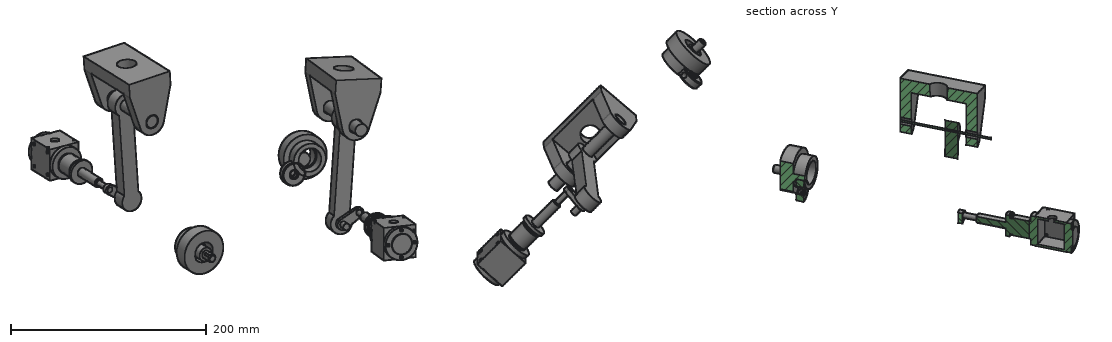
import cadquery as cq
import math


CUBE_SIZE = 35.0
CUBE_WALL = 3.0
DISC_DIAMETER = 35.0
DISC_THICKNESS = 5.0
BOSS_DIAMETER = 22.0
BOSS_HEIGHT = 1.7
FILL_HOLE_DIAMETER = 9.0
SCREW_MOUTH_DIAMETER = 3.27
SCREW_MOUTH_DEPTH = 1.0
SCREW_HOLE_DIAMETER = 2.45
COVER_SCREW_OFFSET = 12.5
DISC_SCREW_RADIUS = 14.5
SMALL_HOLE_DIAMETER = 2.5
SMALL_HOLE_EDGE_OFFSET = 16.0
SMALL_HOLE_SIDE_OFFSET = 11.0
CUBE_HALF = CUBE_SIZE / 2
DISC_FACE_OFFSET = CUBE_HALF + DISC_THICKNESS
BOSS_END_OFFSET = DISC_FACE_OFFSET + BOSS_HEIGHT
CUBE_CENTRE_X = BOSS_END_OFFSET

ARM_LEFT_X = 127.5
ARM_THICKNESS = 14.5
ARM_WIDTH = 17.2
ARM_LENGTH = 109.0
ARM_TILT = 4.0
UPPER_EYE_RADIUS = 12.8
LOWER_EYE_RADIUS = 11.8
PIVOT_Y = 9.8
PIVOT_Z = 97.8
MAIN_PIN_DIAMETER = 13.0
MAIN_PIN_LENGTH = 100.8

LINK_THICKNESS = 5.0
LINK_SPINDLE_END_RADIUS = 5.0
LINK_PIN_END_RADIUS = 6.0
CRANK_PIN_DIAMETER = 7.0
CRANK_PIN_LENGTH = 9.5

SHAFT_DIAMETER = 6.0
ROD_DIAMETER = 10.0
ROD_END_X = 107.2
ROD_CHAMFER = 1.0
NECK_DIAMETER = 20.0
NECK_START_X = 67.5
FLANGE_DIAMETER = 26.0
FLANGE_START_X = 69.5
FLANGE_END_X = 74.5
FLANGE_CHAMFER = 1.5
SPINDLE_START_X = CUBE_CENTRE_X + BOSS_END_OFFSET

BRACKET_LEFT_X = 106.0
BRACKET_LENGTH = 85.5
BRACKET_DEPTH = 50.0
BRACKET_HEIGHT = 50.0
BRACKET_PLATE = 15.0
BRACKET_LEG = 12.8
BRACKET_EYE_RADIUS = 15.0
BRACKET_TILT = 3.7
BRACKET_TOP_HOLE = 20.2
BRACKET_PIN_HOLE = 15.0

WHEEL_Y = -13.5
WHEEL_Z = 6.5
WHEEL_DIAMETER = 47.5
HUB_DIAMETER = 35.0
HUB_START_X = 296.7
HUB_LENGTH = 12.8
RIM_LENGTH = 15.0
BORE_DIAMETER = 25.0
BORE_DEPTH = HUB_LENGTH
INNER_BORE_DIAMETER = 22.0

COLLAR_Y = 3.5
COLLAR_Z = -7.5
COLLAR_START_X = 297.7
COLLAR_LENGTH = 9.0
COLLAR_DIAMETER = 25.0
COLLAR_HOLE = 8.0
COLLAR_CHAMFER = 1.0
SET_SCREWS = ((135, 3.5), (225, 6.0))

STUB_Y = -11.5
STUB_Z = 3.7
STUB_DIAMETER = 8.8
STUB_HEAD_DIAMETER = 15.0
STUB_START_X = HUB_START_X + BORE_DEPTH
STUB_HEAD_END_X = HUB_START_X + HUB_LENGTH + RIM_LENGTH
STUB_END_X = 337.0
STUB_CHAMFER = 1.0
KEYWAY_WIDTH = 2.5
KEYWAY_DEPTH = 1.5
KEYWAY_START_X = 327.7
KEYWAY_ANGLE = 45


def cylinder(diameter, start_x, end_x, y=0.0, z=0.0):
    """Cylinder along X between two X positions."""
    profile = cq.Workplane("YZ", origin=(start_x, y, z)).circle(diameter / 2)
    return profile.extrude(end_x - start_x)


def tangent_points(centre_a, radius_a, centre_b, radius_b):
    """Ends of the outer tangent that lies left of the direction from circle a to circle b."""
    dy = centre_b[0] - centre_a[0]
    dz = centre_b[1] - centre_a[1]
    normal = math.atan2(dz, dy) + math.acos((radius_a - radius_b) / math.hypot(dy, dz))
    return [
        (centre[0] + radius * math.cos(normal), centre[1] + radius * math.sin(normal))
        for centre, radius in ((centre_a, radius_a), (centre_b, radius_b))
    ]


def tilt_about_pivot(body, angle):
    """Turn a body about its pin axis and move that axis to the main pivot."""
    return body.rotate((0, 0, 0), (1, 0, 0), angle).translate((0, PIVOT_Y, PIVOT_Z))


def make_bracket():
    half_depth = BRACKET_DEPTH / 2
    plate_bottom = BRACKET_HEIGHT - BRACKET_PLATE
    corner = (half_depth, plate_bottom)
    eye_y, eye_z = tangent_points(corner, 0, (0, 0), BRACKET_EYE_RADIUS)[1]
    body = (
        cq.Workplane("YZ", origin=(BRACKET_LEFT_X, 0, 0))
        .moveTo(-half_depth, BRACKET_HEIGHT)
        .lineTo(half_depth, BRACKET_HEIGHT)
        .lineTo(*corner)
        .lineTo(eye_y, eye_z)
        .threePointArc((0, -BRACKET_EYE_RADIUS), (-eye_y, eye_z))
        .lineTo(-half_depth, plate_bottom)
        .close()
        .extrude(BRACKET_LENGTH)
    )
    gap = cq.Workplane("XY").box(
        BRACKET_LENGTH - 2 * BRACKET_LEG,
        BRACKET_DEPTH,
        plate_bottom + BRACKET_EYE_RADIUS,
        centered=(False, True, False),
    ).translate((BRACKET_LEFT_X + BRACKET_LEG, 0, -BRACKET_EYE_RADIUS))
    top_hole = (
        cq.Workplane("XY", origin=(BRACKET_LEFT_X + BRACKET_LENGTH / 2, 0, plate_bottom))
        .circle(BRACKET_TOP_HOLE / 2)
        .extrude(BRACKET_PLATE)
    )
    pin_hole = cylinder(BRACKET_PIN_HOLE, BRACKET_LEFT_X, BRACKET_LEFT_X + BRACKET_LENGTH)
    return tilt_about_pivot(body.cut(gap).cut(top_hole).cut(pin_hole), BRACKET_TILT)


def make_main_pin():
    end_x = BRACKET_LEFT_X + BRACKET_LENGTH
    return cylinder(MAIN_PIN_DIAMETER, end_x - MAIN_PIN_LENGTH, end_x, PIVOT_Y, PIVOT_Z)


def make_arm():
    right_x = ARM_LEFT_X + ARM_THICKNESS
    bar = cq.Workplane("XY").box(
        ARM_THICKNESS, ARM_WIDTH, ARM_LENGTH, centered=(False, True, False)
    ).translate((ARM_LEFT_X, 0, -ARM_LENGTH))
    upper_eye = cylinder(2 * UPPER_EYE_RADIUS, ARM_LEFT_X, right_x)
    lower_eye = cylinder(2 * LOWER_EYE_RADIUS, ARM_LEFT_X, right_x, 0, -ARM_LENGTH)
    pin_hole = cylinder(MAIN_PIN_DIAMETER, ARM_LEFT_X, right_x)
    return tilt_about_pivot(bar.union(upper_eye).union(lower_eye).cut(pin_hole), ARM_TILT)


def make_crank():
    """Link from the spindle to the lower eye of the arm, with a pin standing out at the eye."""
    tilt = math.radians(ARM_TILT)
    spindle_end = (0, 0)
    pin_y = PIVOT_Y + ARM_LENGTH * math.sin(tilt)
    pin_z = PIVOT_Z - ARM_LENGTH * math.cos(tilt)
    pin_end = (pin_y, pin_z)
    there = tangent_points(spindle_end, LINK_SPINDLE_END_RADIUS, pin_end, LINK_PIN_END_RADIUS)
    back = tangent_points(pin_end, LINK_PIN_END_RADIUS, spindle_end, LINK_SPINDLE_END_RADIUS)
    start_x = ARM_LEFT_X - LINK_THICKNESS
    web = cq.Workplane("YZ", origin=(start_x, 0, 0)).polyline(there + back).close().extrude(LINK_THICKNESS)
    spindle_eye = cylinder(2 * LINK_SPINDLE_END_RADIUS, start_x, ARM_LEFT_X)
    pin_eye = cylinder(2 * LINK_PIN_END_RADIUS, start_x, ARM_LEFT_X, *pin_end)
    pin = cylinder(CRANK_PIN_DIAMETER, start_x - CRANK_PIN_LENGTH, start_x, *pin_end)
    shaft_hole = cylinder(SHAFT_DIAMETER, start_x, ARM_LEFT_X)
    return web.union(spindle_eye).union(pin_eye).union(pin).cut(shaft_hole)


def screw_holes(face, points, depth):
    """Stepped screw holes that run into the material behind a face."""
    holes = face.pushPoints(points).circle(SCREW_HOLE_DIAMETER / 2).extrude(-depth)
    mouths = face.pushPoints(points).circle(SCREW_MOUTH_DIAMETER / 2).extrude(-SCREW_MOUTH_DEPTH)
    return holes.union(mouths)


def make_gearbox():
    """Hollow cube with a disc and a low boss on both X sides, centred on the origin, then moved."""
    cube = cq.Workplane("XY").box(CUBE_SIZE, CUBE_SIZE, CUBE_SIZE)
    discs = cylinder(DISC_DIAMETER, -DISC_FACE_OFFSET, DISC_FACE_OFFSET)
    bosses = cylinder(BOSS_DIAMETER, -BOSS_END_OFFSET, BOSS_END_OFFSET)
    inner_size = CUBE_SIZE - 2 * CUBE_WALL
    body = cube.union(discs).union(bosses).cut(cq.Workplane("XY").box(inner_size, inner_size, inner_size))

    top = cq.Workplane("XY", origin=(0, 0, CUBE_HALF))
    fill_hole = top.circle(FILL_HOLE_DIAMETER / 2).extrude(-CUBE_WALL)
    top_holes = (
        top.pushPoints([(SMALL_HOLE_SIDE_OFFSET, side * SMALL_HOLE_EDGE_OFFSET) for side in (-1, 1)])
        .circle(SMALL_HOLE_DIAMETER / 2)
        .extrude(-CUBE_WALL)
    )
    side_hole = cylinder(
        SMALL_HOLE_DIAMETER, -CUBE_HALF, CUBE_WALL - CUBE_HALF,
        -SMALL_HOLE_EDGE_OFFSET, SMALL_HOLE_SIDE_OFFSET,
    )
    body = body.cut(fill_hole).cut(top_holes).cut(side_hole)

    cover_points = [
        (side_x * COVER_SCREW_OFFSET, side_z * COVER_SCREW_OFFSET)
        for side_x in (-1, 1)
        for side_z in (-1, 1)
    ]
    disc_points = [
        (side * DISC_SCREW_RADIUS * along_z, side * DISC_SCREW_RADIUS * (1 - along_z))
        for side in (-1, 1)
        for along_z in (0, 1)
    ]
    front_face = cq.Workplane("XZ", origin=(0, -CUBE_HALF, 0))
    end_face = cq.Workplane("ZY", origin=(-DISC_FACE_OFFSET, 0, 0))
    body = body.cut(screw_holes(front_face, cover_points, CUBE_WALL))
    body = body.cut(screw_holes(end_face, disc_points, DISC_THICKNESS))
    return body.translate((CUBE_CENTRE_X, 0, 0))


def make_spindle():
    sleeve = cylinder(BOSS_DIAMETER, SPINDLE_START_X, NECK_START_X)
    neck = cylinder(NECK_DIAMETER, NECK_START_X, FLANGE_START_X)
    flange = cylinder(FLANGE_DIAMETER, FLANGE_START_X, FLANGE_END_X).faces("<X").chamfer(FLANGE_CHAMFER)
    rod = cylinder(ROD_DIAMETER, FLANGE_END_X, ROD_END_X).faces(">X").chamfer(ROD_CHAMFER)
    shaft = cylinder(SHAFT_DIAMETER, ROD_END_X, ARM_LEFT_X)
    return sleeve.union(neck).union(flange).union(rod).union(shaft)


def make_wheel():
    rim_start_x = HUB_START_X + HUB_LENGTH
    rim_end_x = rim_start_x + RIM_LENGTH
    bore_end_x = HUB_START_X + BORE_DEPTH
    hub = cylinder(HUB_DIAMETER, HUB_START_X, rim_start_x, WHEEL_Y, WHEEL_Z)
    rim = cylinder(WHEEL_DIAMETER, rim_start_x, rim_end_x, WHEEL_Y, WHEEL_Z)
    bore = cylinder(BORE_DIAMETER, HUB_START_X, bore_end_x, WHEEL_Y, WHEEL_Z)
    inner_bore = cylinder(INNER_BORE_DIAMETER, bore_end_x, rim_end_x, WHEEL_Y, WHEEL_Z)
    collar_slot = cylinder(
        COLLAR_DIAMETER, COLLAR_START_X, COLLAR_START_X + COLLAR_LENGTH, COLLAR_Y, COLLAR_Z
    )
    return hub.union(rim).cut(bore).cut(inner_bore).cut(collar_slot)


def make_collar():
    """Chamfered ring with two radial set screw holes, built on the X axis, then moved."""
    ring = cylinder(COLLAR_DIAMETER, 0, COLLAR_LENGTH).cut(cylinder(COLLAR_HOLE, 0, COLLAR_LENGTH))
    body = ring.faces("<X or >X").chamfer(COLLAR_CHAMFER)
    for angle, diameter in SET_SCREWS:
        screw_hole = (
            cq.Workplane("XZ", origin=(COLLAR_LENGTH / 2, 0, 0))
            .circle(diameter / 2)
            .extrude(-COLLAR_DIAMETER / 2)
            .rotate((0, 0, 0), (1, 0, 0), angle)
        )
        body = body.cut(screw_hole)
    return body.translate((COLLAR_START_X, COLLAR_Y, COLLAR_Z))


def make_stub_shaft():
    """Headed stub shaft with a keyway that is open at the outer end."""
    head = cylinder(STUB_HEAD_DIAMETER, STUB_START_X, STUB_HEAD_END_X)
    shaft = cylinder(STUB_DIAMETER, STUB_HEAD_END_X, STUB_END_X).faces(">X").chamfer(STUB_CHAMFER)
    keyway = cq.Workplane("XY").box(
        STUB_END_X - KEYWAY_START_X, KEYWAY_WIDTH, STUB_DIAMETER, centered=(False, True, False)
    ).translate((KEYWAY_START_X, 0, STUB_DIAMETER / 2 - KEYWAY_DEPTH))
    body = head.union(shaft).cut(keyway.rotate((0, 0, 0), (1, 0, 0), KEYWAY_ANGLE))
    return body.translate((0, STUB_Y, STUB_Z))


bracket = make_bracket()
main_pin = make_main_pin()
arm = make_arm()
crank = make_crank()
gearbox = make_gearbox()
spindle = make_spindle()
wheel = make_wheel()
collar = make_collar()
stub_shaft = make_stub_shaft()

result = cq.Compound.makeCompound([
    bracket.val(),
    main_pin.val(),
    arm.val(),
    crank.val(),
    gearbox.val(),
    spindle.val(),
    wheel.val(),
    collar.val(),
    stub_shaft.val(),
])